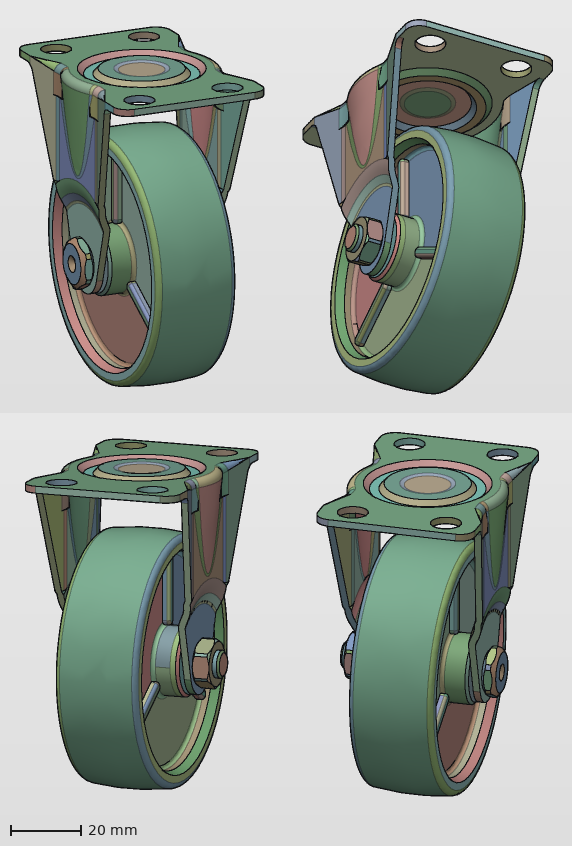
import cadquery as cq
import math


total_height = 93.0
wheel_radius = 37.5
axle_z = wheel_radius

sheet = 2.0
plate_length = 69.9
plate_width = 47.1
plate_corner_radius = 4.5
hole_diameter = 8.8
hole_spacing_x = 55.1
hole_spacing_y = 27.8

leg_flat_y = 20.4
panel_start_x = 12.65
panel_end_x = 24.6
panel_bend_radius = 7.35
top_bend_radius = 2.2
leg_top_half_width = 24.4
leg_side_angle = 16.5
leg_end_z = 28.3
leg_end_radius = 7.8
leg_root_radius = 2.8

bulge_top_radius = 23.3
bulge_tip_z = 63.2
bulge_blend_radius = 7.9

pad_bottom_z = 83.9
pad_outer_x = 14.6
pad_low_x = 11.9
pad_low_y = 20.6
pad_inner_x = 9.1
pad_inner_y = 20.8

dish_floor_y = 17.95
dish_floor_radius = 17.4
dish_top_radius = 22.1
dish_floor_bend = 1.9
dish_top_bend = 9.7

groove_outer_radius = 18.4
groove_floor_outer_radius = 16.65
groove_floor_inner_radius = 13.95
groove_inner_radius = 12.5
groove_depth = 1.6
dimple_top_radius = 8.0
dimple_floor_radius = 6.7
dimple_depth = 0.4

wheel_half_width = 12.6
tread_side_radius = 36.5
rim_edge_radius = 1.8
rim_lip_height = 2.5
rim_face_inner_radius = 32.7
rim_wall_radius = 31.6
web_half_width = 7.0
web_fillet = 1.1
hub_radius = 10.1
hub_half_length = 15.1
hub_end_chamfer = 0.8
hub_fillet = 1.1
rib_count = 3
rib_inner_radius = 10.2
rib_outer_radius = 31.6
rib_width = 3.2
rib_height = 2.2
rib_edge_fillet = 0.9

shaft_radius = 4.05
shaft_end_y = 25.0
shaft_end_chamfer = 0.65
nut_across_flats = 13.0
nut_round_radius = 7.3
nut_flat_radius = 6.5
nut_end_y = 23.1
head_across_flats = 13.95
head_round_radius = 7.6
head_flat_radius = 5.95
head_end_y = 22.1
hex_chamfer_angle = 38.0
center_hole_radius = 2.4
center_hole_depth = 1.9


def revolve_about_axle(half_profile):
    """Revolve a profile drawn as (radius, Y) about the axle."""
    return half_profile.close().revolve(360, (0, 0), (0, 1)).translate((0, 0, axle_z))


margin = 0.1
panel_edge_y = plate_width / 2
panel_slope = (panel_edge_y - leg_flat_y) / (panel_end_x - panel_start_x)
panel_angle = math.atan(panel_slope)
bend_reach = panel_bend_radius * math.tan(panel_angle / 2)
bend_start_x = panel_start_x - bend_reach
panel_tangent_x = panel_start_x + bend_reach * math.cos(panel_angle)
panel_tangent_y = leg_flat_y + bend_reach * math.sin(panel_angle)


def leg_middle(rounded_top):
    """Solid inward of the flat middle of a leg, with the conical bulge on its face."""
    flat = (
        cq.Workplane("XY")
        .rect(2 * panel_tangent_x, leg_flat_y)
        .extrude(total_height)
        .translate((0, leg_flat_y / 2, 0))
    )
    bulge = cq.Solid.makeCone(
        leg_flat_y, bulge_top_radius, total_height - bulge_tip_z,
        cq.Vector(0, 0, bulge_tip_z), cq.Vector(0, 0, 1), 180,
    )
    middle = flat.union(cq.Workplane(bulge))
    blend_zone = cq.selectors.BoxSelector(
        (-panel_start_x, leg_flat_y - margin, bulge_tip_z - margin),
        (panel_start_x, leg_flat_y + margin, total_height - margin),
    )
    middle = middle.edges(blend_zone).fillet(bulge_blend_radius)
    if rounded_top:
        top_zone = cq.selectors.BoxSelector(
            (-panel_tangent_x + margin, leg_flat_y - margin, total_height - margin),
            (panel_tangent_x - margin, panel_edge_y, total_height + margin),
        )
        middle = middle.edges(top_zone).fillet(top_bend_radius)
    trim = (
        cq.Workplane("XY")
        .rect(2 * bend_start_x, 2 * plate_width)
        .extrude(total_height)
    )
    return middle.intersect(trim)


def hollow_strip(bottom_z, inner_point, low_point, outer_point, rounded_top):
    """Upright solid whose outer face is a hollow arc through three (X, Y) points."""
    strip = (
        cq.Workplane("XY", origin=(0, 0, bottom_z))
        .moveTo(inner_point[0], 0)
        .lineTo(*inner_point)
        .threePointArc(low_point, outer_point)
        .lineTo(outer_point[0], 0)
        .close()
        .extrude(total_height - bottom_z)
    )
    if rounded_top:
        strip = strip.faces(">Z").edges("%CIRCLE").fillet(top_bend_radius)
    return strip


def panel_bend(rounded_top):
    """Bend between the flat middle and the +X side panel."""
    half_angle = panel_angle / 2
    middle_point = (
        bend_start_x + panel_bend_radius * math.sin(half_angle),
        leg_flat_y + panel_bend_radius * (1 - math.cos(half_angle)),
    )
    end_point = (panel_tangent_x, panel_tangent_y)
    return hollow_strip(0, (bend_start_x, leg_flat_y), middle_point, end_point, rounded_top)


def valley_pad(rounded_top):
    """Fills the valley between the bulge and the +X side panel near the plate."""
    panel_y = leg_flat_y + panel_slope * (pad_outer_x - panel_start_x)
    inner_point = (pad_inner_x, pad_inner_y)
    low_point = (pad_low_x, pad_low_y)
    return hollow_strip(pad_bottom_z, inner_point, low_point, (pad_outer_x, panel_y), rounded_top)


def tetrahedron(corners):
    """Solid with four flat sides."""
    faces = []
    for skipped in range(4):
        triangle = [corner for index, corner in enumerate(corners) if index != skipped]
        faces.append(cq.Face.makeFromWires(cq.Wire.makePolygon(triangle, close=True)))
    return cq.Solid.makeSolid(cq.Shell.makeShell(faces))


def panel_top_waste():
    """Waste along the top of a side panel: a rounding that runs out to nothing at the plate edge."""
    tip = cq.Vector(panel_end_x, panel_edge_y, total_height)
    corner = cq.Vector(panel_tangent_x, panel_tangent_y, total_height)
    inward = cq.Vector(math.sin(panel_angle), -math.cos(panel_angle), 0) * top_bend_radius
    down = cq.Vector(0, 0, -top_bend_radius)
    overrun = 1.2
    ends = [tip + (point - tip) * overrun for point in (corner, corner + inward, corner + down)]

    axis = (corner + inward + down - tip) * overrun
    half_angle = math.asin(top_bend_radius * overrun / axis.Length)
    length = axis.Length * overrun
    rounding = cq.Solid.makeCone(0, length * math.tan(half_angle), length, tip, axis)
    return cq.Workplane(tetrahedron([tip] + ends)).cut(cq.Workplane(rounding))


def side_panel(rounded_top):
    """Solid inward of one side panel, running out past the end of the plate."""
    reach = plate_length / 2
    panel = (
        cq.Workplane("XY")
        .moveTo(panel_tangent_x, 0)
        .lineTo(panel_tangent_x, panel_tangent_y)
        .lineTo(reach, leg_flat_y + panel_slope * (reach - panel_start_x))
        .lineTo(reach, 0)
        .close()
        .extrude(total_height)
    )
    if rounded_top:
        panel = panel.cut(panel_top_waste())
    return panel


def dish(inset):
    """Waste of the round dish that steps a leg surface inward around the axle.

    inset is how far the surface lies inward of the outer face of the leg.
    """
    wall_angle = math.atan2(leg_flat_y - dish_floor_y, dish_top_radius - dish_floor_radius)
    half_tangent = math.tan(wall_angle / 2)
    across = math.cos(wall_angle)
    along = math.sin(wall_angle)

    floor_y = dish_floor_y - inset
    top_y = leg_flat_y - inset
    floor_radius = dish_floor_radius + inset * half_tangent
    top_radius = dish_top_radius + inset * half_tangent
    floor_reach = (dish_floor_bend + inset) * half_tangent
    top_reach = (dish_top_bend - inset) * half_tangent

    mouth_radius = top_radius + top_reach
    mouth_flare = 3.7
    outside_y = plate_width
    profile = (
        cq.Workplane("XY")
        .moveTo(0, floor_y)
        .lineTo(floor_radius - floor_reach, floor_y)
        .tangentArcPoint(
            (floor_radius + floor_reach * across, floor_y + floor_reach * along), relative=False
        )
        .lineTo(top_radius - top_reach * across, top_y - top_reach * along)
        .tangentArcPoint((mouth_radius, top_y), relative=False)
        .lineTo(mouth_radius + mouth_flare, top_y + mouth_flare / 2)
        .lineTo(mouth_radius + mouth_flare, outside_y)
        .lineTo(0, outside_y)
    )
    return revolve_about_axle(profile)


def leg_block(rounded_top):
    """Solid from the middle plane out to the shaped face of the +Y leg."""
    block = leg_middle(rounded_top)
    for make_part in (panel_bend, side_panel, valley_pad):
        part = make_part(rounded_top)
        block = block.union(part).union(part.mirror("YZ"))
    return block


def front_outline():
    """Plate edge and the two tapering legs, extruded across the bracket."""
    taper = math.radians(leg_side_angle)
    end_center_z = leg_end_z + leg_end_radius
    side_x = leg_end_radius * math.cos(taper)
    side_z = end_center_z - leg_end_radius * math.sin(taper)
    root_z = total_height - sheet
    legs = (
        cq.Workplane("XZ")
        .moveTo(-leg_top_half_width, root_z)
        .lineTo(-side_x, side_z)
        .threePointArc((0, leg_end_z), (side_x, side_z))
        .lineTo(leg_top_half_width, root_z)
        .close()
        .extrude(plate_width, both=True)
    )
    plate = cq.Workplane("XY").box(plate_length, 2 * plate_width, sheet).translate(
        (0, 0, total_height - sheet / 2)
    )
    root = cq.selectors.BoxSelector(
        (-leg_top_half_width - margin, -plate_width, root_z - margin),
        (leg_top_half_width + margin, plate_width, root_z + margin),
    )
    return plate.union(legs).edges("|Y").edges(root).fillet(leg_root_radius)


def plan_outline():
    """Rounded rectangle of the mounting plate, extruded over the full height."""
    return (
        cq.Workplane("XY")
        .rect(plate_length, plate_width)
        .extrude(total_height)
        .edges("|Z")
        .fillet(plate_corner_radius)
    )


def plate_pressing():
    """Ring groove and central dimple pressed into the top of the plate."""
    groove_floor_z = total_height - groove_depth
    groove = (
        cq.Workplane("XZ")
        .moveTo(groove_outer_radius, total_height)
        .lineTo(groove_floor_outer_radius, groove_floor_z)
        .lineTo(groove_floor_inner_radius, groove_floor_z)
        .lineTo(groove_inner_radius, total_height)
        .close()
        .revolve(360, (0, 0), (0, 1))
    )
    dimple = cq.Workplane(cq.Solid.makeCone(
        dimple_floor_radius, dimple_top_radius, dimple_depth,
        cq.Vector(0, 0, total_height - dimple_depth),
    ))
    return groove.union(dimple)


def make_bracket():
    outside = leg_block(rounded_top=True).cut(dish(0))
    inside = leg_block(rounded_top=False).translate((0, -sheet, -sheet)).cut(dish(sheet))
    bracket = outside.union(outside.mirror("XZ"))
    bracket = bracket.intersect(plan_outline()).intersect(front_outline())
    bracket = bracket.cut(inside).cut(inside.mirror("XZ"))

    pressing = plate_pressing()
    bracket = bracket.union(pressing.translate((0, 0, -sheet))).cut(pressing)

    mounting_holes = (
        cq.Workplane("XY")
        .rect(hole_spacing_x, hole_spacing_y, forConstruction=True)
        .vertices()
        .circle(hole_diameter / 2)
        .extrude(total_height)
    )
    return bracket.cut(mounting_holes).cut(axle_cylinder(shaft_radius, -plate_width, plate_width))


def axle_cylinder(radius, start_y, end_y):
    """Cylinder on the wheel axis between two Y positions."""
    return cq.Workplane(cq.Solid.makeCylinder(
        radius, end_y - start_y, cq.Vector(0, start_y, axle_z), cq.Vector(0, 1, 0)
    ))


def tread_barrel():
    """Crowned outer disc of the wheel with rounded rim edges."""
    profile = (
        cq.Workplane("XY")
        .moveTo(0, -wheel_half_width)
        .lineTo(tread_side_radius, -wheel_half_width)
        .threePointArc((wheel_radius, 0), (tread_side_radius, wheel_half_width))
        .lineTo(0, wheel_half_width)
    )
    return revolve_about_axle(profile).faces("<Y or >Y").edges().fillet(rim_edge_radius)


def face_recess():
    """Waste of the ring recess in the +Y face, between the rim and the hub."""
    profile = (
        cq.Workplane("XY")
        .moveTo(hub_radius, wheel_half_width)
        .lineTo(hub_radius, web_half_width + hub_fillet)
        .radiusArc((hub_radius + hub_fillet, web_half_width), -hub_fillet)
        .lineTo(rim_wall_radius - web_fillet, web_half_width)
        .radiusArc((rim_wall_radius, web_half_width + web_fillet), -web_fillet)
        .lineTo(rim_wall_radius, wheel_half_width - rim_lip_height)
        .lineTo(rim_face_inner_radius, wheel_half_width)
    )
    return revolve_about_axle(profile)


def rib():
    """Raised rounded rib on the +Y side of the web, running out along +X from the hub."""
    length = rib_outer_radius - rib_inner_radius
    return (
        cq.Workplane("XZ", origin=(0, 0, axle_z))
        .center((rib_inner_radius + rib_outer_radius) / 2, 0)
        .slot2D(length, rib_width)
        .extrude(-(web_half_width + rib_height))
        .faces(">Y")
        .edges()
        .fillet(rib_edge_fillet)
    )


def make_wheel():
    hub = axle_cylinder(hub_radius, -hub_half_length, hub_half_length)
    hub = hub.edges("%CIRCLE").chamfer(hub_end_chamfer)
    recess = face_recess()
    wheel = tread_barrel().cut(recess).cut(recess.mirror("XZ")).union(hub)
    for index in range(rib_count):
        turned_rib = rib().rotate((0, 0, axle_z), (0, 1, axle_z), index * 360 / rib_count - 90)
        wheel = wheel.union(turned_rib).union(turned_rib.mirror("XZ"))
    return wheel.cut(axle_cylinder(shaft_radius, -hub_half_length, hub_half_length))


def hex_block(across_flats, round_radius, flat_radius, start_y, end_y):
    """Hexagon on the wheel axis, corner up, its corners trimmed round and chamfered at both ends."""
    length = end_y - start_y
    hexagon = (
        cq.Workplane("XZ", origin=(0, end_y, axle_z))
        .polygon(6, across_flats, circumscribed=True)
        .extrude(length)
    )
    chamfer_drop = (round_radius - flat_radius) * math.tan(math.radians(hex_chamfer_angle))
    envelope = (
        axle_cylinder(round_radius, start_y, end_y)
        .edges("%CIRCLE")
        .chamfer(chamfer_drop, round_radius - flat_radius)
    )
    return hexagon.intersect(envelope)


def make_axle():
    shaft = axle_cylinder(shaft_radius, -dish_floor_y, shaft_end_y)
    shaft = shaft.faces(">Y").chamfer(shaft_end_chamfer)
    nut = hex_block(nut_across_flats, nut_round_radius, nut_flat_radius, dish_floor_y, nut_end_y)
    head = hex_block(head_across_flats, head_round_radius, head_flat_radius, -head_end_y, -dish_floor_y)
    center_hole = cq.Workplane(cq.Solid.makeCone(
        center_hole_radius, 0, center_hole_depth,
        cq.Vector(0, -head_end_y, axle_z), cq.Vector(0, 1, 0),
    ))
    return shaft.union(nut).union(head).cut(center_hole)


bracket = make_bracket()
wheel = make_wheel()
axle = make_axle()
result = cq.Compound.makeCompound([bracket.val(), wheel.val(), axle.val()])